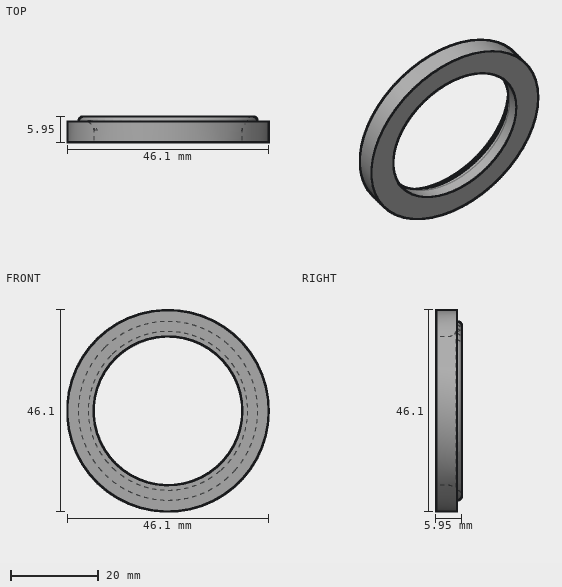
import cadquery as cq

outer_radius = 23.05
bore_radius = 16.95
ring_thickness = 4.8

total_thickness = 5.95
bead_outer_radius = 20.45
bead_section_radius = total_thickness - ring_thickness
bead_centre_radius = bead_outer_radius - bead_section_radius

bore_rounding = 2.07


def ring_with_rounded_bore():
    """Flat ring whose bore flares out through a fillet at its +Y end."""
    ring = cq.Workplane("XZ").circle(outer_radius).circle(bore_radius).extrude(-ring_thickness)
    bore_edge = ring.faces(">Y").edges(cq.selectors.RadiusNthSelector(0))
    return ring.newObject(bore_edge.vals()).fillet(bore_rounding)


def round_bead():
    """Torus around Y, centred on the plane of the ring's +Y face."""
    section = cq.Workplane("XY").center(bead_centre_radius, ring_thickness).circle(bead_section_radius)
    return section.revolve(360, (-bead_centre_radius, 0), (-bead_centre_radius, 1))


result = ring_with_rounded_bore().union(round_bead())